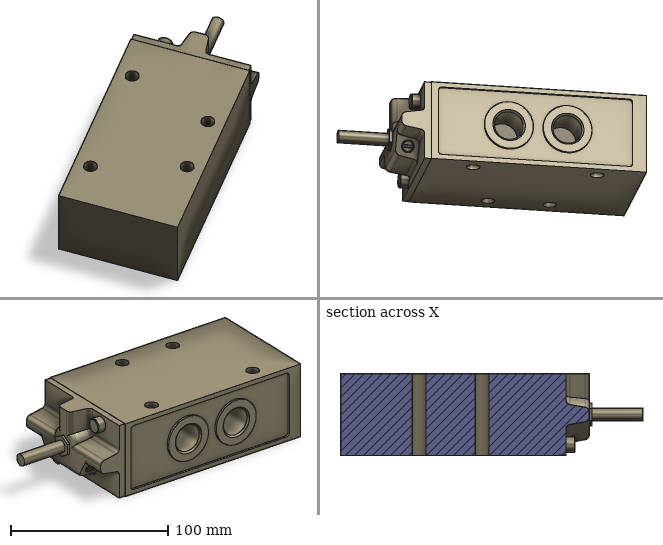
import cadquery as cq
import math

BODY_WIDTH = 80.0
BODY_LENGTH = 138.8
BODY_HEIGHT = 52.0
TOTAL_LENGTH = 192

CAP_WIDTH = 79.0
CAP_HEIGHT = 51.8
CAP_FACE = 143.2
RIB_HEIGHT = 14.8
CAP_TIP = CAP_FACE + RIB_HEIGHT
DRAFT = math.radians(10)
TIP_RADIUS = 3.5
FOOT_RADIUS = 2.9
CROSS_RIB_HALF_TIP = 4.2
UPPER_RIB_HALF_TIP = 6.0
HUB_TIP_RADIUS = 11.5
BLOCK_HALF_TIP = 15.5

FLANK_TILT = 30
FLANK_DISTANCE = 21.5
SLOT_SCREW_Y = 150.1
SLOT_SCREW_DIAMETER = 7.0
SLOT_SCREW_BORE = 8.0
GAP_DEPTH = 1.0
SLOT_WIDTH = 1.7
SLOT_DEPTH = 2

CAP_SCREW_DIAMETER = 10.0
CAP_SCREW_HEIGHT = 5.8
CAP_SCREW_CHAMFER = 0.5
CAP_SCREW_X = 20.0
CAP_SCREW_Z = 19.2

CABLE_DIAMETER = 8.0
GLAND_CORNER_DIAMETER = 14.8
GLAND_HEIGHT = 1.7
GLAND_TURN = 30

PORT_MIDDLE_Y = 69.9
HOLE_DIAMETER = 8.6
HOLE_ROW_X = 29.0
LEFT_HOLE_SPACING = 80.0
RIGHT_HOLE_SPACING = 40.0

PORT_SPACING = 37.8
PORT_DIAMETER = 18.6
PORT_DEPTH = 23
PORT_CHAMFER = 1.2
RING_DIAMETER = 31.5
PANEL_START = 9.0
PANEL_LENGTH = 125.4
PANEL_HEIGHT = 45.7
PANEL_DEPTH = 1.5
PANEL_CORNER_RADIUS = 2.3


def rib_flank(half_tip):
    """Points of one drafted flank, from the tip flat to the foot, as (half width, y)."""
    half_foot = half_tip + RIB_HEIGHT * math.tan(DRAFT)
    corner_factor = math.tan((math.pi / 2 - DRAFT) / 2)
    tip_run = TIP_RADIUS * corner_factor
    foot_run = FOOT_RADIUS * corner_factor
    return [
        (half_tip - tip_run, CAP_TIP),
        (half_tip + tip_run * math.sin(DRAFT), CAP_TIP - tip_run * math.cos(DRAFT)),
        (half_foot - foot_run * math.sin(DRAFT), CAP_FACE + foot_run * math.cos(DRAFT)),
        (half_foot + foot_run, CAP_FACE),
    ]


def half_rib(half_tip):
    """Half of the rib outline in the XY plane, from the centre line out to +X."""
    tip_start, tip_end, foot_start, foot_end = rib_flank(half_tip)
    return (
        cq.Workplane("XY")
        .moveTo(0, BODY_LENGTH)
        .lineTo(0, CAP_TIP)
        .lineTo(*tip_start)
        .radiusArc(tip_end, TIP_RADIUS)
        .lineTo(*foot_start)
        .radiusArc(foot_end, -FOOT_RADIUS)
        .lineTo(foot_end[0], BODY_LENGTH)
        .close()
    )


def straight_rib(half_tip, length):
    """Rib running from z = 0 up to z = length, symmetric in X."""
    half = half_rib(half_tip).extrude(length)
    return half.union(half.mirror("YZ"))


def crosswise_rib(half_tip):
    """Rib running along X over the full cap width, symmetric in Z."""
    rib = straight_rib(half_tip, CAP_WIDTH).translate((0, 0, -CAP_WIDTH / 2))
    return rib.rotate((0, 0, 0), (0, 1, 0), 90)


def cylinder_along_y(diameter, start, length, x=0, z=0):
    direction = cq.Vector(0, 1, 0)
    return cq.Workplane(cq.Solid.makeCylinder(diameter / 2, length, cq.Vector(x, start, z), direction))


def make_body():
    body = cq.Workplane("XY").box(BODY_WIDTH, BODY_LENGTH, BODY_HEIGHT, centered=(True, False, True))
    for side, spacing in ((-1, LEFT_HOLE_SPACING), (1, RIGHT_HOLE_SPACING)):
        hole_centres = [(side * HOLE_ROW_X, PORT_MIDDLE_Y + end * spacing / 2) for end in (-1, 1)]
        holes = (
            cq.Workplane("XY", origin=(0, 0, -BODY_HEIGHT / 2))
            .pushPoints(hole_centres)
            .circle(HOLE_DIAMETER / 2)
            .extrude(BODY_HEIGHT)
        )
        body = body.cut(holes)
    return body


def add_ports(body):
    """Sink the panel into the -X side, leaving a ring around each port, then bore the ports."""
    side = cq.Workplane("YZ", origin=(-BODY_WIDTH / 2, 0, 0))
    port_centres = [(PORT_MIDDLE_Y + end * PORT_SPACING / 2, 0) for end in (-1, 1)]
    panel = (
        side.center(PANEL_START + PANEL_LENGTH / 2, 0)
        .rect(PANEL_LENGTH, PANEL_HEIGHT)
        .extrude(PANEL_DEPTH)
        .edges("|X")
        .fillet(PANEL_CORNER_RADIUS)
    )
    rings = side.pushPoints(port_centres).circle(RING_DIAMETER / 2).extrude(PANEL_DEPTH)
    bores = side.pushPoints(port_centres).circle(PORT_DIAMETER / 2).extrude(PORT_DEPTH)
    body = body.cut(panel.cut(rings)).cut(bores)
    for y, z in port_centres:
        mouth = cq.Solid.makeCone(
            PORT_DIAMETER / 2 + PORT_CHAMFER,
            PORT_DIAMETER / 2,
            PORT_CHAMFER,
            cq.Vector(-BODY_WIDTH / 2, y, z),
            cq.Vector(1, 0, 0),
        )
        body = body.cut(cq.Workplane(mouth))
    return body


def make_lower_block():
    """Drafted block below the cross rib, trimmed by a slanted flank on each side."""
    tilt = math.radians(FLANK_TILT)
    half_top = FLANK_DISTANCE / math.cos(tilt)
    bottom = -CAP_HEIGHT / 2
    half_bottom = half_top + bottom * math.tan(tilt)
    trim = (
        cq.Workplane("XZ", origin=(0, CAP_TIP, 0))
        .polyline([(-half_top, 0), (half_top, 0), (half_bottom, bottom), (-half_bottom, bottom)])
        .close()
        .extrude(RIB_HEIGHT)
    )
    return crosswise_rib(BLOCK_HALF_TIP).intersect(trim)


def make_cap():
    plate_depth = CAP_FACE - BODY_LENGTH
    plate = (
        cq.Workplane("XY")
        .box(CAP_WIDTH, plate_depth, CAP_HEIGHT, centered=(True, False, True))
        .translate((0, BODY_LENGTH, 0))
    )
    hub = half_rib(HUB_TIP_RADIUS).revolve(360, (0, 0, 0), (0, 1, 0))
    upper_rib = straight_rib(UPPER_RIB_HALF_TIP, CAP_HEIGHT / 2)
    cross_rib = crosswise_rib(CROSS_RIB_HALF_TIP)
    return plate.union(cross_rib).union(upper_rib).union(hub).union(make_lower_block())


def cut_slotted_screw(part):
    """Cut the ring gap around a flush screw head on the flank, and its slot along Y."""
    tilt = math.radians(FLANK_TILT)
    normal = (-math.cos(tilt), 0, -math.sin(tilt))
    centre = (FLANK_DISTANCE * normal[0], SLOT_SCREW_Y, FLANK_DISTANCE * normal[2])
    flank = cq.Workplane(cq.Plane(origin=centre, xDir=(0, 1, 0), normal=normal))
    gap = flank.circle(SLOT_SCREW_BORE / 2).circle(SLOT_SCREW_DIAMETER / 2).extrude(-GAP_DEPTH)
    slot = flank.rect(SLOT_SCREW_DIAMETER, SLOT_WIDTH).extrude(-SLOT_DEPTH)
    return part.cut(gap).cut(slot)


def make_cap_screws():
    screws = cq.Workplane("XY")
    for side in (-1, 1):
        head = cylinder_along_y(
            CAP_SCREW_DIAMETER, CAP_FACE, CAP_SCREW_HEIGHT, side * CAP_SCREW_X, -side * CAP_SCREW_Z
        )
        screws = screws.add(head.faces(">Y").chamfer(CAP_SCREW_CHAMFER))
    return screws.combine()


def make_cable():
    cable = cylinder_along_y(CABLE_DIAMETER, CAP_TIP, TOTAL_LENGTH - CAP_TIP)
    gland = (
        cq.Workplane("XZ", origin=(0, CAP_TIP, 0))
        .transformed(rotate=(0, 0, GLAND_TURN))
        .polygon(6, GLAND_CORNER_DIAMETER)
        .extrude(-GLAND_HEIGHT)
    )
    return cable.union(gland)


cap = cut_slotted_screw(make_cap())
result = add_ports(make_body()).union(cap).union(make_cap_screws()).union(make_cable())